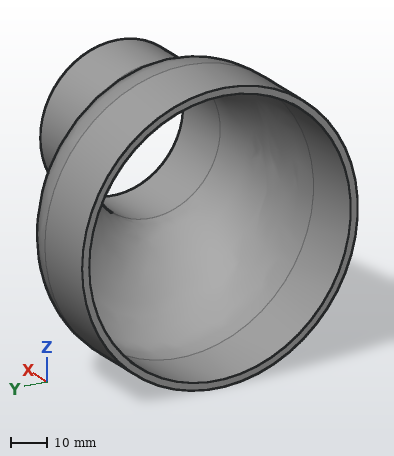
import cadquery as cq

LENGTH = 90.0
LARGE_DIAMETER = 88.9
LARGE_BORE = 84.3
SMALL_DIAMETER = 48.3
COLLAR_LENGTH = 20.0

END_TANGENT = 1.2
SECTION_COUNT = 13

WALL = (LARGE_DIAMETER - LARGE_BORE) / 2
TRANSITION_LENGTH = LENGTH - 2 * COLLAR_LENGTH
SMALL_COLLAR_START = LENGTH - COLLAR_LENGTH
LARGE_RADIUS = LARGE_DIAMETER / 2
SMALL_RADIUS = SMALL_DIAMETER / 2
ECCENTRICITY = LARGE_RADIUS - SMALL_RADIUS


def circle_at(x, y, radius):
    """Circle facing +X with its centre at (x, y, 0)."""
    plane = cq.Plane(origin=(x, y, 0), xDir=(0, 1, 0), normal=(1, 0, 0))
    return cq.Workplane(plane).circle(radius)


def transition_circle(t, inset):
    """Wire of the transition at t (0 = large end, 1 = small end), following a Hermite S-curve."""
    blend = 3 * t**2 - 2 * t**3
    tangent_blend = t - 3 * t**2 + 2 * t**3
    x = COLLAR_LENGTH + TRANSITION_LENGTH * (blend + END_TANGENT * tangent_blend)
    shift = blend * ECCENTRICITY
    return circle_at(x, -shift, LARGE_RADIUS - shift - inset).wires().val()


def reducer_body(inset):
    """Solid reducer with every radius reduced by the inset."""
    large_collar = circle_at(0, 0, LARGE_RADIUS - inset).extrude(COLLAR_LENGTH)
    small_circle = circle_at(SMALL_COLLAR_START, -ECCENTRICITY, SMALL_RADIUS - inset)
    small_collar = small_circle.extrude(COLLAR_LENGTH)
    sections = [transition_circle(i / (SECTION_COUNT - 1), inset) for i in range(SECTION_COUNT)]
    transition = cq.Workplane(cq.Solid.makeLoft(sections))
    return large_collar.union(transition).union(small_collar)


result = reducer_body(0).cut(reducer_body(WALL))